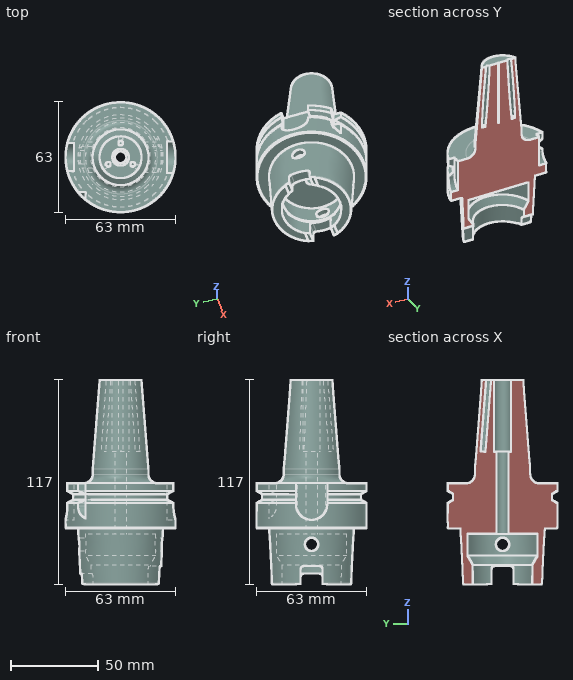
import cadquery as cq
import math


shank_length = 32
gauge_radius = 24.35
taper_slope = 1 / 20
shank_end_height = 1
shank_end_setback = 0.36

bore_mouth_radius = 17
bore_chamber_radius = 20
shoulder_bottom_z = -20.7
shoulder_angle = 30
bore_top_z = -3

flange_radius = 31.5
flange_height = 26
flange_chamfer = 0.5
groove_floor_radius = 28.4
groove_center_z = 18.1
groove_floor_width = 3.36
groove_flank_angle = 30
groove_corner_fillet = 0.4

nose_top_z = 85
nose_top_radius = 12
nose_base_radius = 16
nose_collar_height = 3
neck_fillet = 5

tool_bore_radius = 4.8
tool_bore_depth = 41
passage_radius = 3.3
coolant_hole_count = 3
coolant_hole_diameter = 2.6
coolant_circle_radius = 8
coolant_hole_depth = 41

drive_slot_floor_x = 26.5
narrow_slot_width = 16
wide_slot_width = 18
slot_bottom_z = 5
notch_edge = 20
notch_center_y = -(notch_edge + narrow_slot_width / 2)

end_slot_width = 12.4
end_slot_corner = 1.5
short_slot_depth = 6.2
long_slot_depth = 10.5
end_relief_width = 17.6
end_relief_depth = 0.3
cross_hole_diameter = 7.5
cross_hole_z = -9


def revolved_body():
    """Solid of revolution: taper shank, grooved flange, filleted neck and conical nose."""
    groove_depth = flange_radius - groove_floor_radius
    floor_half = groove_floor_width / 2
    mouth_half = floor_half + groove_depth * math.tan(math.radians(groove_flank_angle))
    shank_bottom_radius = gauge_radius - taper_slope * (shank_length - shank_end_height)
    neck_top_z = flange_height + neck_fillet
    arc_offset = neck_fillet * (1 - math.sqrt(0.5))
    body = (
        cq.Workplane("XZ")
        .moveTo(0, -shank_length)
        .lineTo(shank_bottom_radius - shank_end_setback, -shank_length)
        .lineTo(shank_bottom_radius, shank_end_height - shank_length)
        .lineTo(gauge_radius, 0)
        .lineTo(flange_radius - flange_chamfer, 0)
        .lineTo(flange_radius, flange_chamfer)
        .lineTo(flange_radius, groove_center_z - mouth_half)
        .lineTo(groove_floor_radius, groove_center_z - floor_half)
        .lineTo(groove_floor_radius, groove_center_z + floor_half)
        .lineTo(flange_radius, groove_center_z + mouth_half)
        .lineTo(flange_radius, flange_height)
        .lineTo(nose_base_radius + neck_fillet, flange_height)
        .threePointArc(
            (nose_base_radius + arc_offset, flange_height + arc_offset),
            (nose_base_radius, neck_top_z),
        )
        .lineTo(nose_base_radius, neck_top_z + nose_collar_height)
        .lineTo(nose_top_radius, nose_top_z)
        .lineTo(0, nose_top_z)
        .close()
        .revolve(360, (0, 0, 0), (0, 1, 0))
    )
    groove_floor = body.faces(cq.selectors.BoxSelector(
        (-flange_radius, -flange_radius, groove_center_z - floor_half),
        (flange_radius, flange_radius, groove_center_z + floor_half),
    ))
    return groove_floor.edges("%CIRCLE").fillet(groove_corner_fillet)


def axial_cylinder(radius, bottom_z, top_z):
    """Cylinder on the part axis between two heights."""
    return cq.Workplane("XY").workplane(offset=bottom_z).circle(radius).extrude(top_z - bottom_z)


def clamping_bore():
    """Shank bore that widens behind its mouth through a conical shoulder."""
    shoulder_height = (bore_chamber_radius - bore_mouth_radius) / math.tan(math.radians(shoulder_angle))
    shoulder_top_z = shoulder_bottom_z + shoulder_height
    return (
        cq.Workplane("XZ")
        .moveTo(0, -shank_length)
        .lineTo(bore_mouth_radius, -shank_length)
        .lineTo(bore_mouth_radius, shoulder_bottom_z)
        .lineTo(bore_chamber_radius, shoulder_top_z)
        .lineTo(bore_chamber_radius, bore_top_z)
        .lineTo(0, bore_top_z)
        .close()
        .revolve(360, (0, 0, 0), (0, 1, 0))
    )


def axial_bores():
    """Tool bore from the nose, passage along the axis and clamping bore in the shank."""
    tool_bore = axial_cylinder(tool_bore_radius, nose_top_z - tool_bore_depth, nose_top_z)
    passage = axial_cylinder(passage_radius, -shank_length, nose_top_z)
    return tool_bore.union(passage).union(clamping_bore())


def coolant_holes():
    """Holes round the tool bore that follow the slope of the nose, one of them on the +Y side."""
    cone_height = nose_top_z - flange_height - neck_fillet - nose_collar_height
    slope = (nose_base_radius - nose_top_radius) / cone_height
    drilling_axis = cq.Vector(0, slope, -1).normalized()
    entry = cq.Vector(0, coolant_circle_radius, nose_top_z) - drilling_axis * coolant_hole_diameter
    length = coolant_hole_depth + coolant_hole_diameter
    hole = cq.Solid.makeCylinder(coolant_hole_diameter / 2, length, entry, drilling_axis)
    holes = cq.Workplane("XY")
    for index in range(coolant_hole_count):
        angle = index * 360 / coolant_hole_count
        holes = holes.add(hole.rotate(cq.Vector(0, 0, 0), cq.Vector(0, 0, 1), angle))
    return holes.combine()


def flange_slot(side, floor_x, center_y, width):
    """Slot with a round bottom, open to the flange top and to the +X (side=1) or -X (side=-1) side."""
    radius = width / 2
    straight_z = slot_bottom_z + radius
    return (
        cq.Workplane("YZ")
        .workplane(offset=side * floor_x)
        .moveTo(center_y - radius, flange_height)
        .lineTo(center_y - radius, straight_z)
        .threePointArc((center_y, slot_bottom_z), (center_y + radius, straight_z))
        .lineTo(center_y + radius, flange_height)
        .close()
        .extrude(side * flange_radius)
    )


def shank_end_slot(side, depth):
    """Drive slot across the shank wall, open at the shank end, with rounded inner corners."""
    return (
        cq.Workplane("XY")
        .workplane(offset=-shank_length)
        .center(side * flange_radius / 2, 0)
        .rect(flange_radius, end_slot_width)
        .extrude(depth)
        .edges("|X and >Z")
        .fillet(end_slot_corner)
    )


def shank_end_relief():
    """Shallow band across the shank end that sets the face back beside the end slots."""
    return (
        cq.Workplane("XY")
        .workplane(offset=-shank_length)
        .rect(2 * flange_radius, end_relief_width)
        .extrude(end_relief_depth)
    )


def cross_hole():
    """Round hole through both shank walls along X."""
    return (
        cq.Workplane("YZ")
        .center(0, cross_hole_z)
        .circle(cross_hole_diameter / 2)
        .extrude(flange_radius, both=True)
    )


result = (
    revolved_body()
    .cut(axial_bores())
    .cut(coolant_holes())
    .cut(flange_slot(-1, drive_slot_floor_x, 0, narrow_slot_width))
    .cut(flange_slot(1, drive_slot_floor_x, 0, wide_slot_width))
    .cut(flange_slot(-1, notch_edge, notch_center_y, narrow_slot_width))
    .cut(shank_end_slot(-1, short_slot_depth))
    .cut(shank_end_slot(1, long_slot_depth))
    .cut(shank_end_relief())
    .cut(cross_hole())
)